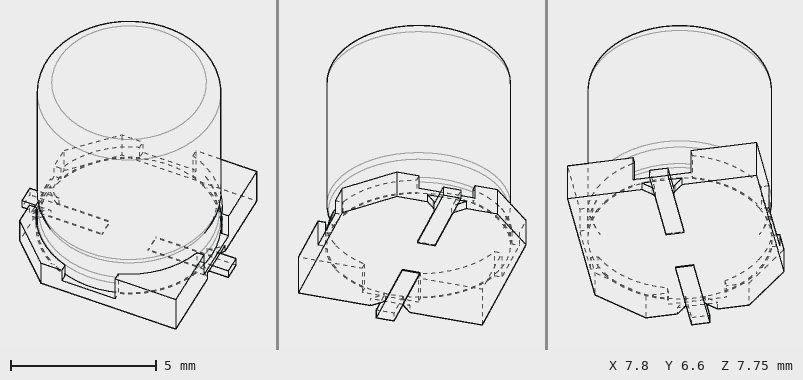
import cadquery as cq
import math

total_height = 7.75

base_side = 6.6
base_bottom = 0.04
base_low_top = base_bottom + 1.015
base_high_top = base_bottom + 1.5
base_chamfer = 1.5
socket_radius = 3.2
socket_floor = base_bottom + 0.5
notch_width = 2.01

lead_tip = 3.9
lead_length = 3.03
lead_width = 0.64
lead_top = base_bottom + 0.3
flare_mouth_width = 1.405
flare_corner_radius = 0.3
flare_angle = math.radians(45)

can_radius = 3.15
can_top_fillet = 0.5
groove_center_height = 1.615
groove_inner_radius = 0.8
groove_shoulder_radius = 0.5
groove_angle = math.radians(28)


def block(x_min, x_max, width, z_min, z_max):
    """Box spanning x_min..x_max and z_min..z_max, centred on Y = 0."""
    height = z_max - z_min
    return (
        cq.Workplane("XY")
        .box(x_max - x_min, width, height, centered=(False, True, False))
        .translate((x_min, 0, z_min))
    )


def make_base():
    """Base block: two chamfered corners, raised +X corners, round socket and four side notches."""
    half_side = base_side / 2
    half_notch = notch_width / 2
    base = block(-half_side, half_side, base_side, base_bottom, base_low_top)
    base = base.edges("|Z and <X").chamfer(base_chamfer)
    base = base.union(block(half_notch, half_side, base_side, base_bottom, base_high_top))

    socket = (
        cq.Workplane("XY", origin=(0, 0, socket_floor))
        .circle(socket_radius)
        .extrude(base_high_top - socket_floor)
    )
    base = base.cut(socket)
    base = base.cut(block(-half_side, half_side, notch_width, socket_floor, base_high_top))
    return base.cut(block(-half_notch, half_notch, base_side, socket_floor, base_high_top))


def make_lead_flare():
    """Recess on the -X side: 45 degree walls that curve to meet the sides of the lead."""
    mouth_x = -base_side / 2
    half_mouth = flare_mouth_width / 2
    half_lead = lead_width / 2
    radius = flare_corner_radius

    arc_start_y = half_lead + radius * (1 - math.cos(flare_angle))
    arc_start_x = mouth_x + (half_mouth - arc_start_y) / math.tan(flare_angle)
    arc_end_x = arc_start_x + radius * math.sin(flare_angle)
    arc_mid_x = arc_end_x - radius * math.sin(flare_angle / 2)
    arc_mid_y = half_lead + radius * (1 - math.cos(flare_angle / 2))
    return (
        cq.Workplane("XY", origin=(0, 0, base_bottom))
        .moveTo(mouth_x, half_mouth)
        .lineTo(arc_start_x, arc_start_y)
        .threePointArc((arc_mid_x, arc_mid_y), (arc_end_x, half_lead))
        .lineTo(arc_end_x, -half_lead)
        .threePointArc((arc_mid_x, -arc_mid_y), (arc_start_x, -arc_start_y))
        .lineTo(mouth_x, -half_mouth)
        .close()
        .extrude(lead_top - base_bottom)
    )


def make_can():
    """Revolved can with a rounded top rim and a crimp groove near the base."""
    rise_inner = groove_inner_radius * math.sin(groove_angle)
    rise_total = rise_inner + groove_shoulder_radius * math.sin(groove_angle)
    shoulder_depth = groove_shoulder_radius * (1 - math.cos(groove_angle))
    groove_depth = shoulder_depth + groove_inner_radius * (1 - math.cos(groove_angle))

    shoulder_mid_radius = can_radius - groove_shoulder_radius * (1 - math.cos(groove_angle / 2))
    shoulder_mid_rise = rise_total - groove_shoulder_radius * math.sin(groove_angle / 2)
    shoulder_end_radius = can_radius - shoulder_depth
    groove_floor_radius = can_radius - groove_depth

    lower_shoulder_mid = (shoulder_mid_radius, groove_center_height - shoulder_mid_rise)
    lower_shoulder_end = (shoulder_end_radius, groove_center_height - rise_inner)
    upper_shoulder_end = (shoulder_end_radius, groove_center_height + rise_inner)
    upper_shoulder_mid = (shoulder_mid_radius, groove_center_height + shoulder_mid_rise)
    profile = (
        cq.Workplane("XZ")
        .moveTo(0, socket_floor)
        .lineTo(can_radius, socket_floor)
        .lineTo(can_radius, groove_center_height - rise_total)
        .threePointArc(lower_shoulder_mid, lower_shoulder_end)
        .threePointArc((groove_floor_radius, groove_center_height), upper_shoulder_end)
        .threePointArc(upper_shoulder_mid, (can_radius, groove_center_height + rise_total))
        .lineTo(can_radius, total_height)
        .lineTo(0, total_height)
        .close()
    )
    can = profile.revolve(360, (0, 0, 0), (0, 1, 0))
    return can.faces(">Z").edges().fillet(can_top_fillet)


left_flare = make_lead_flare()
left_lead = block(-lead_tip, lead_length - lead_tip, lead_width, 0, lead_top)

body = make_base().cut(left_flare).cut(left_flare.mirror("YZ"))
result = body.union(make_can()).union(left_lead).union(left_lead.mirror("YZ"))